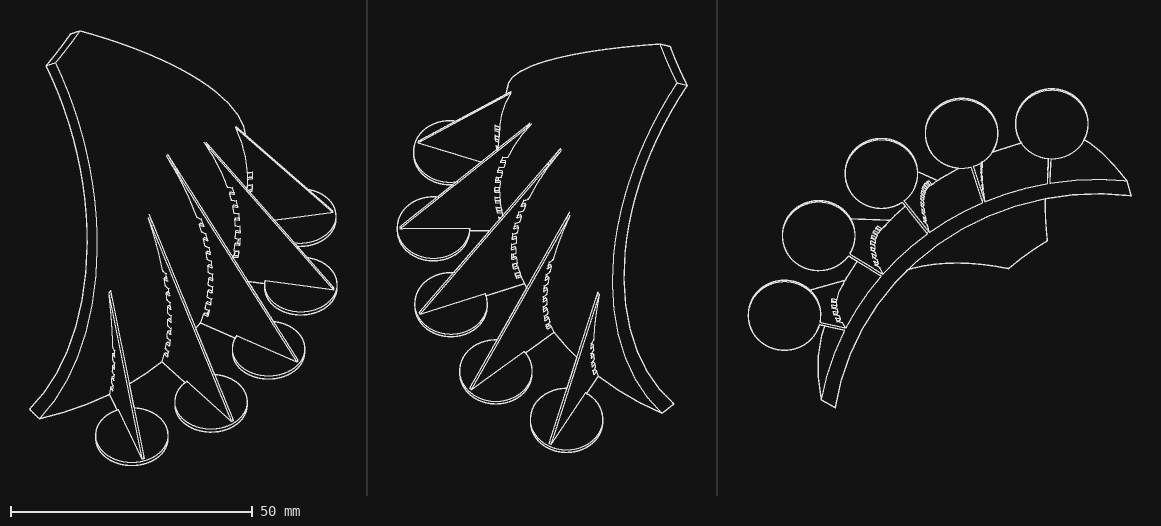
import cadquery as cq
import math

OUTER_RADIUS = 60.0
SHELL_THICKNESS = 3.0
CENTRE_HEIGHT = 14.95

WEDGE_TILT = 45.0
WEDGE_HALF_ANGLE = 30.0
WEDGE_TIP_HALF_WIDTH = 5.1
WEDGE_TIP_OFFSET = 19.4

FAN_AXIS_X = 20.3
FAN_STEP_ANGLE = 20.0
FOOT_FAN_RADIUS = 54.0
INTERMEDIATE_SHIFT = 0.25
FOOT_RADIUS = 7.5
FOOT_THICKNESS = 1.0
FIN_THICKNESS = 0.5
FIN_END_MARGIN = 0.6

GAP_DEPTH = 1.0
GAP_PITCH = 4.0
GAP_HEIGHT = GAP_PITCH / 2
FIRST_GAP_HEIGHT = 3.1

SUPPORTS = [
    (-2, 0, 4),
    (-1, INTERMEDIATE_SHIFT, 7),
    (0, 0, 8),
    (1, INTERMEDIATE_SHIFT, 7),
    (2, 0, 4),
]

INNER_RADIUS = OUTER_RADIUS - SHELL_THICKNESS
MIDDLE_RADIUS = OUTER_RADIUS - SHELL_THICKNESS / 2
SLAB_SIZE = 4 * OUTER_RADIUS


def ball(radius):
    return cq.Workplane("XY").sphere(radius).translate((0, 0, CENTRE_HEIGHT))


def trimming_wedge():
    """Arrowhead prism; the sketch x is world Y and the sketch y is square to the sweep."""
    reach = 2 * OUTER_RADIUS
    tilt = math.radians(WEDGE_TILT)
    flare = (WEDGE_TIP_OFFSET + reach) * math.tan(math.radians(WEDGE_HALF_ANGLE))
    base_half_width = WEDGE_TIP_HALF_WIDTH + flare
    sketch_plane = cq.Plane(
        origin=(0, 0, CENTRE_HEIGHT),
        xDir=(0, 1, 0),
        normal=(math.cos(tilt), 0, math.sin(tilt)),
    )
    arrowhead = [
        (-base_half_width, -reach),
        (base_half_width, -reach),
        (WEDGE_TIP_HALF_WIDTH, WEDGE_TIP_OFFSET),
        (-WEDGE_TIP_HALF_WIDTH, WEDGE_TIP_OFFSET),
    ]
    return cq.Workplane(sketch_plane).polyline(arrowhead).close().extrude(reach)


def make_shell():
    above_ground = cq.Workplane("XY").box(SLAB_SIZE, SLAB_SIZE, SLAB_SIZE, centered=(True, True, False))
    return ball(OUTER_RADIUS).cut(ball(INNER_RADIUS)).intersect(trimming_wedge()).intersect(above_ground)


def fin_blank():
    """Plate in the XZ plane whose sloping edge is tangent to the outside of the shell."""
    end_x = FAN_AXIS_X + FOOT_FAN_RADIUS + FOOT_RADIUS - FIN_END_MARGIN
    rise_to_centre = CENTRE_HEIGHT - FOOT_THICKNESS
    slope = math.asin(OUTER_RADIUS / math.hypot(end_x, rise_to_centre)) + math.atan2(rise_to_centre, end_x)
    top_x = OUTER_RADIUS * math.sin(slope)
    top_z = CENTRE_HEIGHT + OUTER_RADIUS * math.cos(slope)
    profile = [(top_x, 0), (end_x, 0), (end_x, FOOT_THICKNESS), (top_x, top_z)]
    return cq.Workplane("XZ").polyline(profile).close().extrude(FIN_THICKNESS / 2, both=True)


def edge_gaps(count):
    """Slices of a ball slightly larger than the shell, one for each gap."""
    slabs = cq.Workplane("XY")
    for index in range(count):
        slab = cq.Workplane("XY").box(SLAB_SIZE, SLAB_SIZE, GAP_HEIGHT, centered=(True, True, False))
        slabs = slabs.add(slab.translate((0, 0, FIRST_GAP_HEIGHT + index * GAP_PITCH)))
    return slabs.combine().intersect(ball(OUTER_RADIUS + GAP_DEPTH))


def make_support(position, outward_shift, gap_count):
    foot = (
        cq.Workplane("XY")
        .center(FAN_AXIS_X + FOOT_FAN_RADIUS, 0)
        .circle(FOOT_RADIUS)
        .extrude(FOOT_THICKNESS)
    )
    angle = position * FAN_STEP_ANGLE

    def place(body):
        shifted = body.translate((outward_shift, 0, 0))
        return shifted.rotate((FAN_AXIS_X, 0, 0), (FAN_AXIS_X, 0, 1), angle)

    fin = place(fin_blank()).cut(ball(MIDDLE_RADIUS)).cut(edge_gaps(gap_count))
    return fin.union(place(foot))


result = make_shell()
for position, outward_shift, gap_count in SUPPORTS:
    result = result.union(make_support(position, outward_shift, gap_count))